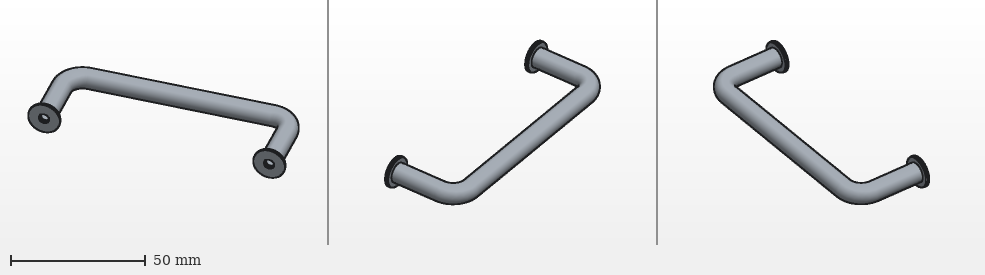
import cadquery as cq
import math

length = 100.5
height = 33.0

bar_diameter = 8.0
bend_radius = 8.0

flange_diameter = 12.5
flange_thickness = 1.4
flange_rim_height = 0.8
flange_top_diameter = 12.1

mouth_diameter = 4.0
mouth_depth = 1.0
mouth_taper = 0.4
hole_diameter = 3.2
hole_depth = 10.0
drill_point_angle = 118.0

foot_y = -height / 2
bar_y = height / 2 - bar_diameter / 2
leg_x = (length - flange_diameter) / 2


def make_bar():
    """Sweep the round bar along both legs, both bends and the grip."""
    bend_offset = bend_radius * (1 - math.sqrt(0.5))
    bend_start_y = bar_y - bend_radius
    grip_end_x = leg_x - bend_radius
    path = (
        cq.Workplane("XY")
        .moveTo(-leg_x, foot_y)
        .lineTo(-leg_x, bend_start_y)
        .threePointArc((-leg_x + bend_offset, bar_y - bend_offset), (-grip_end_x, bar_y))
        .lineTo(grip_end_x, bar_y)
        .threePointArc((leg_x - bend_offset, bar_y - bend_offset), (leg_x, bend_start_y))
        .lineTo(leg_x, foot_y)
    )
    section = cq.Workplane("XZ", origin=(-leg_x, foot_y, 0)).circle(bar_diameter / 2)
    return section.sweep(path)


def revolve_about_leg(profile, x):
    """Revolve (radius, distance from foot) points about the leg axis at x."""
    outline = cq.Workplane("XY", origin=(x, foot_y, 0)).polyline(profile).close()
    return outline.revolve(360, (0, 0, 0), (0, 1, 0))


def make_flange(x):
    """Disc with a straight rim below and a slight taper above."""
    profile = [
        (0, 0),
        (flange_diameter / 2, 0),
        (flange_diameter / 2, flange_rim_height),
        (flange_top_diameter / 2, flange_thickness),
        (0, flange_thickness),
    ]
    return revolve_about_leg(profile, x)


def make_hole(x):
    """Blind hole with a wider mouth, a short taper and a conical drill point."""
    hole_radius = hole_diameter / 2
    point_depth = hole_radius / math.tan(math.radians(drill_point_angle / 2))
    profile = [
        (0, 0),
        (mouth_diameter / 2, 0),
        (mouth_diameter / 2, mouth_depth),
        (hole_radius, mouth_depth + mouth_taper),
        (hole_radius, hole_depth),
        (0, hole_depth + point_depth),
    ]
    return revolve_about_leg(profile, x)


result = make_bar()
for foot_x in (-leg_x, leg_x):
    result = result.union(make_flange(foot_x)).cut(make_hole(foot_x))